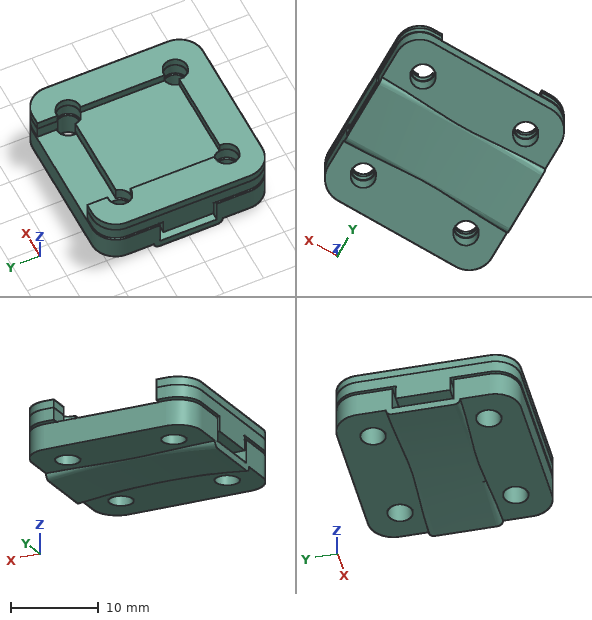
import cadquery as cq
import math

side = 21.5
corner_radius = 2.99
hole_diameter = 2.9
hole_spacing = 13.5

total_height = 6.66
frame_thickness = 1.0
plate_thickness = 1.5
gap = 0.35
base_thickness = 3.1

plate_top = total_height - frame_thickness
plate_bottom = plate_top - plate_thickness
base_top = plate_bottom - gap
base_bottom = base_top - base_thickness

window = 13.07

tongue_width = 6.32
tongue_depth = 1.85

channel_width = 7.14
strap_width = 8.69
strap_thickness = 0.92
strap_edge_radius = 0.73
arch_rise = 0.67
arch_radius = ((side / 2) ** 2 + arch_rise**2) / (2 * arch_rise)
arch_axis_z = arch_rise - arch_radius


def rounded_slab(bottom, thickness):
    """Square slab with rounded corners and the four through holes."""
    return (
        cq.Workplane("XY", origin=(0, 0, bottom))
        .rect(side, side)
        .extrude(thickness)
        .edges("|Z")
        .fillet(corner_radius)
        .cut(corner_holes())
    )


def corner_holes():
    """Four vertical cylinders through the full height."""
    return (
        cq.Workplane("XY")
        .rect(hole_spacing, hole_spacing, forConstruction=True)
        .vertices()
        .circle(hole_diameter / 2)
        .extrude(total_height)
    )


def side_notch():
    """Block that removes the +Y margin between the window and the edge."""
    margin = (side - window) / 2
    return (
        cq.Workplane("XY")
        .center(0, (window + margin) / 2)
        .rect(window, margin)
        .extrude(total_height)
    )


def arched_bar(width, underside_radius):
    """Bar along X whose underside is an arc about the arch axis."""
    end_z = arch_axis_z + math.sqrt(underside_radius**2 - (side / 2) ** 2)
    crown_z = arch_axis_z + underside_radius
    return (
        cq.Workplane("XZ", origin=(0, width / 2, 0))
        .moveTo(-side / 2, end_z)
        .threePointArc((0, crown_z), (side / 2, end_z))
        .lineTo(side / 2, base_top)
        .lineTo(-side / 2, base_top)
        .close()
        .extrude(width)
    )


def make_frame():
    opening = cq.Workplane("XY").rect(window, window).extrude(total_height)
    return rounded_slab(plate_top, frame_thickness).cut(opening).cut(side_notch())


def make_plate():
    tongue = (
        cq.Workplane("XY", origin=(0, 0, plate_bottom - tongue_depth))
        .rect(side, tongue_width)
        .extrude(tongue_depth)
    )
    return rounded_slab(plate_bottom, plate_thickness).cut(side_notch()).union(tongue)


def make_base():
    strap = arched_bar(strap_width, arch_radius)
    strap = strap.edges("%CIRCLE").fillet(strap_edge_radius)
    channel = arched_bar(channel_width, arch_radius + strap_thickness)
    return rounded_slab(base_bottom, base_thickness).union(strap).cut(channel)


frame = make_frame()
plate = make_plate()
base = make_base()

result = cq.Compound.makeCompound([frame.val(), plate.val(), base.val()])